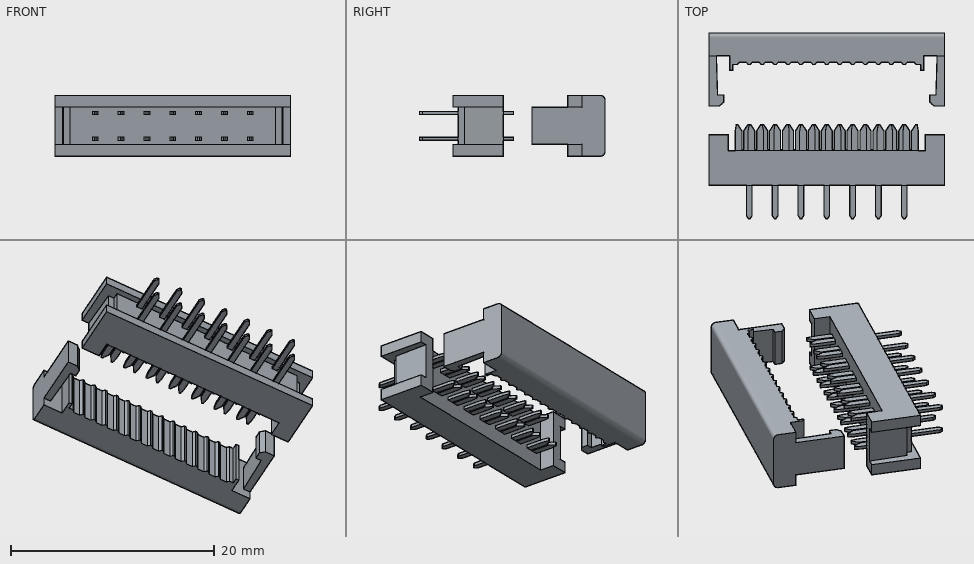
import cadquery as cq


length = 23.18
height = 6.0
web_height = 3.66
wire_count = 14
wire_pitch = 1.27
half_length = length / 2
half_height = height / 2
flange_height = (height - web_height) / 2

wing_end_y = 4.98
floor_y = 3.4
wing_length = 1.9
web_front_y = 0.53
shoulder_y = 1.15
shoulder_inset = 1.45
web_inset_front = 0.85
web_inset_back = 0.75

pins_per_row = wire_count // 2
contact_thickness = 0.32
pin_width = 0.58
pin_tip_width = 0.16
pin_tip_y = -3.3
pin_bevel_length = 0.3
fork_half_width = 0.753
fork_slot_width = 0.16
fork_slot_bottom_y = 3.55
fork_taper_y = 5.35
fork_tip_y = 5.98
prong_tip_outer = 0.65
prong_tip_inner = 0.49

cover_back_y = 15.0
cover_front_y = 12.73
back_edge_radius = 0.49
block_half_length = 9.55
lip_end_y = 11.31
lip_width = 0.32
block_face_y = 11.87
groove_depth = 0.23
groove_mouth_width = 1.11
groove_floor_width = 0.65

arm_root_thickness = 0.75
arm_hook_thickness = 0.85
hook_back_y = 8.9
hook_bevel_y = 8.18
hook_tip_y = 7.8
hook_reach = 1.45
hook_tip_width = 1.02


def plate(outline, thickness, center_z=0.0):
    """Plate from a closed XY outline, centred on center_z."""
    return (
        cq.Workplane("XY", origin=(0, 0, center_z - thickness / 2))
        .polyline(outline)
        .close()
        .extrude(thickness)
    )


def mirrored(half_outline):
    """Full outline from a half outline that runs along the +X side."""
    return half_outline + [(-x, y) for x, y in reversed(half_outline)]


def wire_x(index):
    """X position of one wire, counted from the -X end."""
    return (index - (wire_count - 1) / 2) * wire_pitch


def housing_flanges():
    wing_inner_x = half_length - wing_length
    outline = mirrored([
        (half_length, 0),
        (half_length, wing_end_y),
        (wing_inner_x, wing_end_y),
        (wing_inner_x, floor_y),
    ])
    flange_z = half_height - flange_height / 2
    return plate(outline, flange_height, flange_z).union(plate(outline, flange_height, -flange_z))


def housing_web():
    wing_inner_x = half_length - wing_length
    outline = mirrored([
        (half_length - shoulder_inset, web_front_y),
        (half_length - shoulder_inset, shoulder_y),
        (half_length - web_inset_front, shoulder_y),
        (half_length - web_inset_back, wing_end_y),
        (wing_inner_x, wing_end_y),
        (wing_inner_x, floor_y),
    ])
    return plate(outline, web_height)


def pin(x, z):
    """Solder pin, from inside the web to its bevelled tip."""
    outline = mirrored([
        (pin_tip_width / 2, pin_tip_y),
        (pin_width / 2, pin_tip_y + pin_bevel_length),
        (pin_width / 2, shoulder_y),
    ])
    return plate(outline, contact_thickness, z).translate((x, 0, 0))


def fork(x, z):
    """Two-pronged fork that cuts into the cable, rooted below the recess floor."""
    fork_root_y = (shoulder_y + floor_y) / 2
    outline = mirrored([
        (fork_half_width, fork_root_y),
        (fork_half_width, fork_taper_y),
        (prong_tip_outer, fork_tip_y),
        (prong_tip_inner, fork_tip_y),
        (fork_slot_width / 2, fork_taper_y),
        (fork_slot_width / 2, fork_slot_bottom_y),
    ])
    return plate(outline, contact_thickness, z).translate((x, 0, 0))


def make_housing():
    """Housing with its contacts. The forks of the two rows are staggered by one wire."""
    body = housing_flanges().union(housing_web())
    for index in range(pins_per_row):
        lower_wire = wire_x(2 * index)
        upper_wire = wire_x(2 * index + 1)
        pin_x = (lower_wire + upper_wire) / 2
        for fork_x, row_z in ((lower_wire, -wire_pitch), (upper_wire, wire_pitch)):
            body = body.union(pin(pin_x, row_z)).union(fork(fork_x, row_z))
    return body


def cover_bar():
    """Full-height bar with rounded back edges and a lip at each end of its middle block."""
    outline = mirrored([
        (half_length, cover_back_y),
        (half_length, cover_front_y),
        (block_half_length, cover_front_y),
        (block_half_length, lip_end_y),
        (block_half_length - lip_width, lip_end_y),
        (block_half_length - lip_width, block_face_y),
    ])
    return plate(outline, height).faces(">Y").edges("|X").fillet(back_edge_radius)


def wire_groove(x):
    outline = mirrored([
        (groove_mouth_width / 2, block_face_y),
        (groove_floor_width / 2, block_face_y + groove_depth),
    ])
    return plate(outline, height).translate((x, 0, 0))


def latch_arm():
    """Latch arm at the +X end, with an inward hook at its tip."""
    outline = [
        (half_length, cover_front_y),
        (half_length, hook_tip_y),
        (half_length - hook_tip_width, hook_tip_y),
        (half_length - hook_reach, hook_bevel_y),
        (half_length - hook_reach, hook_back_y),
        (half_length - arm_hook_thickness, hook_back_y),
        (half_length - arm_root_thickness, cover_front_y),
    ]
    return plate(outline, web_height)


def make_cover():
    body = cover_bar()
    for index in range(wire_count):
        body = body.cut(wire_groove(wire_x(index)))
    arm = latch_arm()
    return body.union(arm).union(arm.mirror("YZ"))


housing = make_housing()
cover = make_cover()
result = cq.Compound.makeCompound([housing.val(), cover.val()])